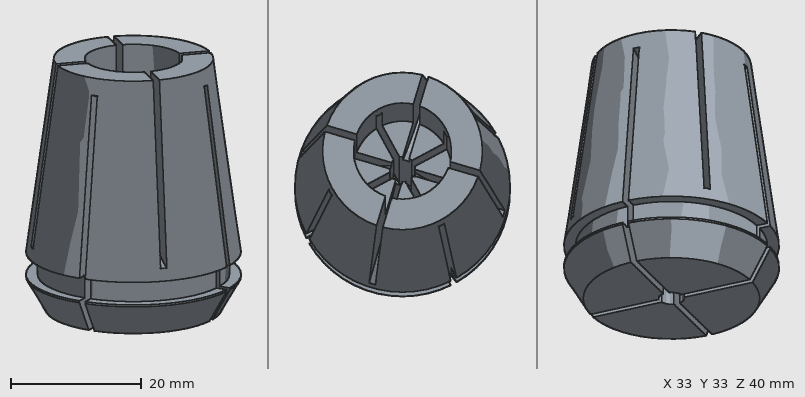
import cadquery as cq

height = 40.0
outer_diameter = 33.0
taper_top_radius = 12.25
taper_base_z = 9.1

groove_radius = 14.7
flange_top_z = 5.5
flange_edge_z = 5.15
nose_radius = 13.5

large_bore_radius = 7.5
small_bore_radius = 1.95
bore_step_z = 24.0

slot_count = 4
slot_width = 1.0
blade_radius = 20.0
blade_center_radius = 19.4
lower_slot_blade_z = 18.55
upper_slot_blade_z = 30.8
overrun = 2.0

outer_radius = outer_diameter / 2
slot_pitch = 360 / slot_count


def make_body():
    """Revolve the taper, groove, flange and stepped bore about Z."""
    return (
        cq.Workplane("XZ")
        .moveTo(small_bore_radius, 0)
        .lineTo(nose_radius, 0)
        .lineTo(outer_radius, flange_edge_z)
        .lineTo(outer_radius, flange_top_z)
        .lineTo(groove_radius, flange_top_z)
        .lineTo(groove_radius, taper_base_z)
        .lineTo(outer_radius, taper_base_z)
        .lineTo(taper_top_radius, height)
        .lineTo(large_bore_radius, height)
        .lineTo(large_bore_radius, bore_step_z)
        .lineTo(small_bore_radius, bore_step_z)
        .close()
        .revolve(360, (0, 0, 0), (0, 1, 0))
    )


def make_slot(blade_z, open_end_z):
    """Slot along +X, open at open_end_z and arc-ended around the blade center."""
    reach = outer_radius + overrun
    blade = (
        cq.Workplane("XZ")
        .center(blade_center_radius, blade_z)
        .circle(blade_radius)
        .extrude(slot_width / 2, both=True)
    )
    straight_run = cq.Workplane("XY").box(
        reach, slot_width, abs(open_end_z - blade_z), centered=(False, True, False)
    ).translate((0, 0, min(blade_z, open_end_z)))
    return blade.union(straight_run)


def cut_slots(body, slot, start_angle):
    for index in range(slot_count):
        angle = start_angle + index * slot_pitch
        body = body.cut(slot.rotate((0, 0, 0), (0, 0, 1), angle))
    return body


lower_slot = make_slot(lower_slot_blade_z, -overrun)
upper_slot = make_slot(upper_slot_blade_z, height + overrun)

result = cut_slots(make_body(), lower_slot, 0)
result = cut_slots(result, upper_slot, slot_pitch / 2)